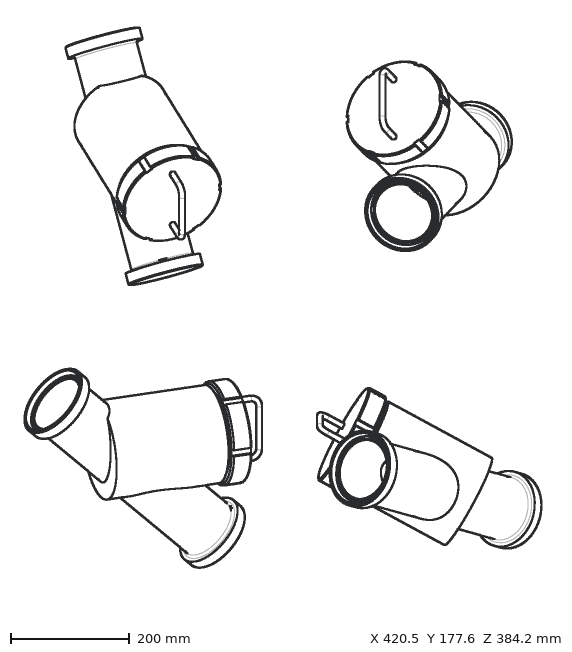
import cadquery as cq
import math


body_diameter = 168.0
body_bore = 145.5
body_left = -20.5
body_right = 180.0
end_wall = 5.0
neck_diameter = 153.0

nut_diameter = 178.0
nut_left = 185.0
nut_right = 220.5
nut_opening = 137.0
nut_left_chamfer = 3.5
nut_right_chamfer = 2.0
slot_count = 6
slot_width = 11.5
slot_floor_radius = 85.0

cap_seat = 191.5
cap_rim_thickness = 4.0

handle_right = 270.5
handle_bar_diameter = 10.0
handle_bend_radius = 15.5
handle_leg_offset = 55.0
handle_foot_depth = 4.0

pipe_tilt = 45
pipe_diameter = 108.0
pipe_bore = 101.0
pipe_upper_length = 148.5
pipe_lower_length = 267.5

flange_diameter = 130.0
flange_thickness = 19.8
flange_chamfer = 1.3
flange_root_fillet = 4.0
cone_mouth_diameter = 121.0
cone_floor_diameter = 113.5
cone_depth = 9.0
seat_diameter = 106.0
seat_depth = 1.5


def x_cylinder(diameter, start, end):
    """Cylinder about the X axis between two X positions."""
    return cq.Workplane("YZ").workplane(offset=start).circle(diameter / 2).extrude(end - start)


def along_pipe(shape):
    """Turn a shape built along X into the pipe direction, falling towards +X."""
    return shape.rotate((0, 0, 0), (0, 1, 0), pipe_tilt)


def make_flange():
    """Solid flange with its outer face at X = 0 and the pipe on the +X side."""
    root_radius = pipe_diameter / 2 + flange_root_fillet
    root_end = flange_thickness + flange_root_fillet
    fillet_middle = flange_root_fillet * (1 - math.sqrt(0.5))
    profile = (
        cq.Workplane("XY")
        .lineTo(0, flange_diameter / 2 - flange_chamfer)
        .lineTo(flange_chamfer, flange_diameter / 2)
        .lineTo(flange_thickness, flange_diameter / 2)
        .lineTo(flange_thickness, root_radius)
        .threePointArc(
            (flange_thickness + fillet_middle, pipe_diameter / 2 + fillet_middle),
            (root_end, pipe_diameter / 2),
        )
        .lineTo(root_end, 0)
        .close()
    )
    return profile.revolve(360, (0, 0, 0), (1, 0, 0))


def make_flange_recess():
    """Conical mouth and stepped seat cut into the flange face at X = 0."""
    seat_floor = cone_depth + seat_depth
    profile = (
        cq.Workplane("XY")
        .lineTo(0, cone_mouth_diameter / 2)
        .lineTo(cone_depth, cone_floor_diameter / 2)
        .lineTo(cone_depth, seat_diameter / 2)
        .lineTo(seat_floor, seat_diameter / 2)
        .lineTo(seat_floor, 0)
        .close()
    )
    return profile.revolve(360, (0, 0, 0), (1, 0, 0))


def at_both_pipe_ends(shape):
    """Copies of an end fitting, placed at the two ends of the pipe."""
    upper = shape.translate((-pipe_upper_length, 0, 0))
    lower = shape.rotate((0, 0, 0), (0, 0, 1), 180).translate((pipe_lower_length, 0, 0))
    return along_pipe(upper.union(lower))


def make_nut():
    """Union nut with evenly spaced slots along its rim."""
    nut = x_cylinder(nut_diameter, nut_left, nut_right)
    nut = nut.faces("<X").chamfer(nut_left_chamfer)
    nut = nut.faces(">X").chamfer(nut_right_chamfer)
    nut = nut.cut(x_cylinder(nut_opening, nut_left, nut_right))
    slot_depth = nut_diameter / 2 - slot_floor_radius
    slot = cq.Workplane("XY").box(
        nut_right - nut_left, 2 * slot_depth, slot_width, centered=(False, False, True)
    ).translate((nut_left, slot_floor_radius, 0))
    for index in range(slot_count):
        nut = nut.cut(slot.rotate((0, 0, 0), (1, 0, 0), index * 360 / slot_count))
    return nut


def make_cap():
    """Flat plate filling the nut opening and resting on the neck."""
    plate = x_cylinder(nut_opening, cap_seat, nut_right)
    rim = x_cylinder(neck_diameter, cap_seat, cap_seat + cap_rim_thickness)
    return plate.union(rim)


def make_handle():
    """U-shaped round bar standing on the cap in the XZ plane."""
    bar_x = handle_right - handle_bar_diameter / 2
    bend_x = bar_x - handle_bend_radius
    bend_z = handle_leg_offset - handle_bend_radius
    leg_start = nut_right - handle_foot_depth
    bend_middle = handle_bend_radius * math.sqrt(0.5)
    path = (
        cq.Workplane("XZ")
        .moveTo(leg_start, handle_leg_offset)
        .lineTo(bend_x, handle_leg_offset)
        .threePointArc((bend_x + bend_middle, bend_z + bend_middle), (bar_x, bend_z))
        .lineTo(bar_x, -bend_z)
        .threePointArc((bend_x + bend_middle, -bend_z - bend_middle), (bend_x, -handle_leg_offset))
        .lineTo(leg_start, -handle_leg_offset)
    )
    section = cq.Workplane("YZ", origin=(leg_start, 0, handle_leg_offset)).circle(handle_bar_diameter / 2)
    return section.sweep(path)


outside = x_cylinder(body_diameter, body_left, body_right)
outside = outside.union(x_cylinder(neck_diameter, body_right, cap_seat))
outside = outside.union(along_pipe(x_cylinder(pipe_diameter, -pipe_upper_length, pipe_lower_length)))
outside = outside.union(at_both_pipe_ends(make_flange()))

shell = outside.cut(x_cylinder(body_bore, body_left + end_wall, cap_seat))
shell = shell.cut(along_pipe(x_cylinder(pipe_bore, -pipe_upper_length, pipe_lower_length)))
shell = shell.cut(at_both_pipe_ends(make_flange_recess()))

result = shell.union(make_nut()).union(make_cap()).union(make_handle())